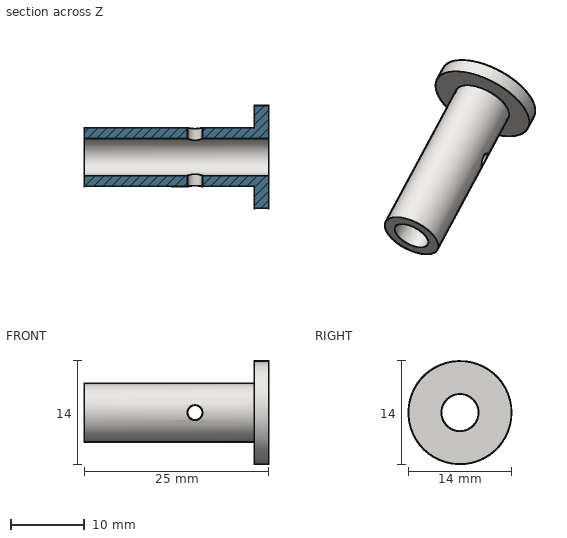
import cadquery as cq

total_length = 25
flange_diameter = 14
flange_thickness = 2
tube_diameter = 8
bore_diameter = 5
cross_hole_diameter = 2
cross_hole_x = 15


def cylinder_along_x(diameter, start, length):
    """Solid cylinder centred on the X axis."""
    return cq.Workplane("YZ", origin=(start, 0, 0)).circle(diameter / 2).extrude(length)


tube = cylinder_along_x(tube_diameter, 0, total_length)
flange = cylinder_along_x(flange_diameter, total_length - flange_thickness, flange_thickness)

bore = cylinder_along_x(bore_diameter, 0, total_length)

cross_hole = (
    cq.Workplane("XZ")
    .center(cross_hole_x, 0)
    .circle(cross_hole_diameter / 2)
    .extrude(tube_diameter, both=True)
)

result = tube.union(flange).cut(bore).cut(cross_hole)